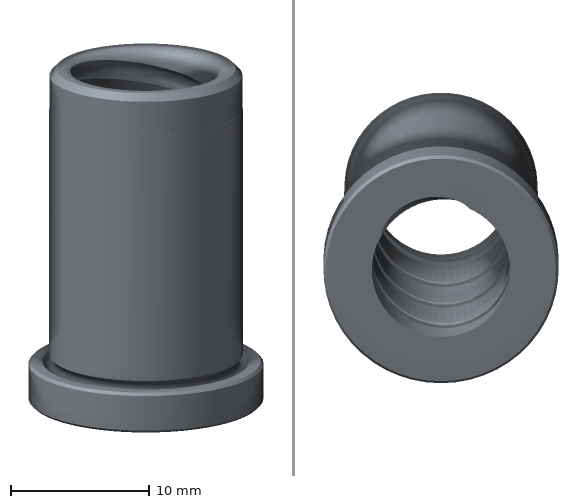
import cadquery as cq

total_height = 25
bore_radius = 5

body_radius = 7
pilot_length = 3
pilot_radius = 6.98
top_chamfer = 0.5
lip_radius = 1

flange_radius = 8.5
flange_height = 3
flange_chamfer = 0.2

relief_leg = 0.5
relief_wall = 0.25

groove_radius = 0.75
groove_path_radius = 4.75
groove_pitch = 6
groove_start_height = -3.1
groove_turns = 5

seam_angle = 250


def sleeve_profile():
    """Half section of the bushing in the XZ plane, without the oil groove."""
    pilot_base = total_height - pilot_length
    return (
        cq.Workplane("XZ")
        .moveTo(bore_radius, 0)
        .lineTo(flange_radius - flange_chamfer, 0)
        .lineTo(flange_radius, flange_chamfer)
        .lineTo(flange_radius, flange_height - flange_chamfer)
        .lineTo(flange_radius - flange_chamfer, flange_height)
        .lineTo(body_radius + relief_leg, flange_height)
        .lineTo(body_radius + relief_leg - relief_wall, flange_height - relief_wall)
        .threePointArc(
            (body_radius - relief_wall, flange_height - relief_wall),
            (body_radius - relief_wall, flange_height + relief_leg - relief_wall),
        )
        .lineTo(body_radius, flange_height + relief_leg)
        .lineTo(body_radius, pilot_base)
        .lineTo(pilot_radius, pilot_base)
        .lineTo(pilot_radius, total_height - top_chamfer)
        .lineTo(pilot_radius - top_chamfer, total_height)
        .lineTo(bore_radius + lip_radius, total_height)
        .radiusArc((bore_radius, total_height - lip_radius), -lip_radius)
        .close()
    )


def oil_groove():
    """Round cutter swept along a right-handed helix that runs out of both ends."""
    path = cq.Wire.makeHelix(groove_pitch, groove_pitch * groove_turns, groove_path_radius)
    cutter = (
        cq.Workplane("XZ")
        .center(groove_path_radius, 0)
        .circle(groove_radius)
        .sweep(cq.Workplane(obj=path), isFrenet=True)
    )
    return cutter.translate((0, 0, groove_start_height))


sleeve = sleeve_profile().revolve(360, (0, 0, 0), (0, 1, 0)).rotate((0, 0, 0), (0, 0, 1), seam_angle)
result = sleeve.cut(oil_groove())